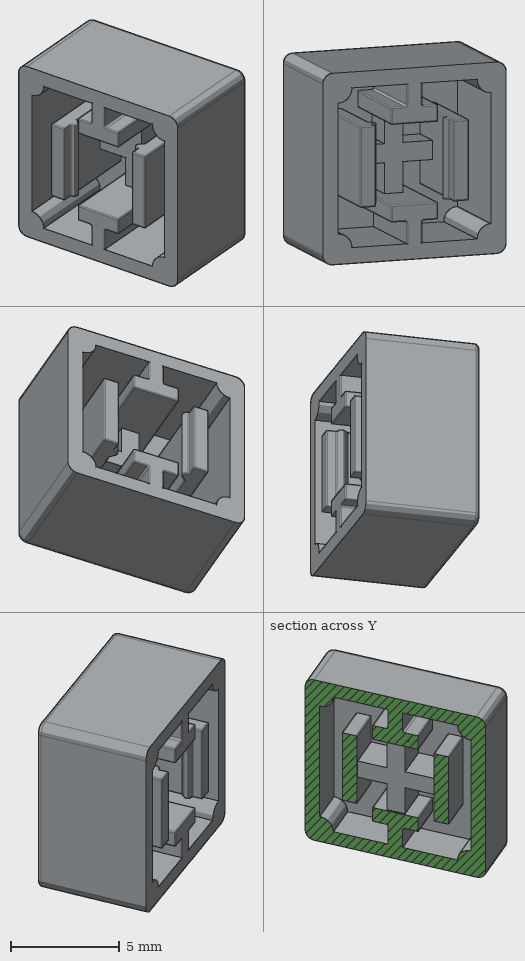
import cadquery as cq
import math

side = 9.0
depth = 5.5
side_edge_radius = 0.48
back_edge_radius = 0.21

wall = 0.75
back_thickness = 1.0
cavity_side = side - 2 * wall
cavity_depth = depth - back_thickness
corner_ridge_radius = 0.675

stem_width = 0.75
head_width = 2.29
head_inner_z = 1.9
head_thickness = 0.79
rail_corner_radius = 0.1

clip_height = 3.8
clip_outer_x = 2.655
clip_inner_x = 1.91
nose_tip_x = 1.66
nose_start_y = 0.5
nose_radius = 0.2

edge_radius = 0.05

cross_width = 0.9
cross_height = 1.68
cross_half_length = 2.25


def box(width, length, height, y_start):
    """Box centred on the Y axis, running back from y_start."""
    return cq.Workplane("XY").box(width, length, height, centered=(True, False, True)).translate((0, y_start, 0))


def make_shell():
    body = box(side, depth, side, 0)
    body = body.edges("|Y").fillet(side_edge_radius)
    body = body.faces(">Y").edges().fillet(back_edge_radius)
    corner_ridges = (
        cq.Workplane("XZ")
        .rect(cavity_side, cavity_side, forConstruction=True)
        .vertices()
        .circle(corner_ridge_radius)
        .extrude(-cavity_depth)
    )
    cavity = box(cavity_side, cavity_depth, cavity_side, 0).cut(corner_ridges)
    return body.cut(cavity)


def make_rail():
    """T-shaped rail hanging from the top wall."""
    head_outer_z = head_inner_z + head_thickness
    wall_z = side / 2 - wall
    rail = (
        cq.Workplane("XZ")
        .moveTo(-head_width / 2, head_inner_z)
        .lineTo(head_width / 2, head_inner_z)
        .lineTo(head_width / 2, head_outer_z)
        .lineTo(stem_width / 2, head_outer_z)
        .lineTo(stem_width / 2, wall_z)
        .lineTo(-stem_width / 2, wall_z)
        .lineTo(-stem_width / 2, head_outer_z)
        .lineTo(-head_width / 2, head_outer_z)
        .close()
        .extrude(-cavity_depth)
    )
    inner_corners = cq.selectors.BoxSelector(
        (-stem_width, 0, head_outer_z - 0.09), (stem_width, cavity_depth, head_outer_z + 0.09)
    )
    rail = rail.edges("|Y").edges(inner_corners).fillet(rail_corner_radius)
    rail = rail.edges("|Y and (>X or <X)").fillet(edge_radius)
    return rail.faces("<Y").edges("not >Z").fillet(edge_radius)


def make_clip():
    """Snap clip on the +X side, with a rounded nose facing the middle and a 45-degree back slope."""
    nose_centre_x = nose_tip_x + nose_radius
    nose_centre_y = nose_start_y + nose_radius
    nose_root_radius = clip_inner_x - nose_centre_x
    tangent_offset = nose_radius * math.sqrt(0.5)
    slope_start_x = nose_centre_x - tangent_offset
    slope_start_y = nose_centre_y + tangent_offset
    slope_end_y = slope_start_y + clip_inner_x - slope_start_x
    clip = (
        cq.Workplane("XY")
        .moveTo(clip_outer_x, 0)
        .lineTo(clip_inner_x, 0)
        .lineTo(clip_inner_x, nose_start_y - nose_root_radius)
        .radiusArc((nose_centre_x, nose_start_y), -nose_root_radius)
        .threePointArc((nose_tip_x, nose_centre_y), (slope_start_x, slope_start_y))
        .lineTo(clip_inner_x, slope_end_y)
        .lineTo(clip_inner_x, cavity_depth)
        .lineTo(clip_outer_x, cavity_depth)
        .close()
        .extrude(clip_height / 2, both=True)
    )
    return clip.faces("<Y or >Z or <Z").edges("not >Y").fillet(edge_radius)


def make_cross():
    rib_start = cavity_depth - cross_height
    across = box(2 * cross_half_length, cross_height, cross_width, rib_start)
    upright = box(cross_width, cross_height, 2 * cross_half_length, rib_start)
    return across.union(upright)


rail = make_rail()
clip = make_clip()
result = (
    make_shell()
    .union(rail)
    .union(rail.mirror("XY"))
    .union(clip)
    .union(clip.mirror("YZ"))
    .union(make_cross())
)